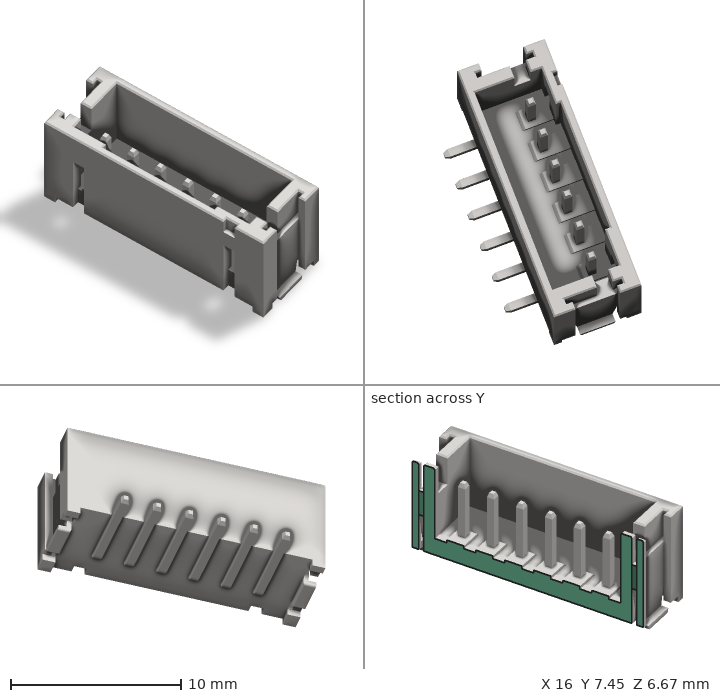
import cadquery as cq


length = 16.0
depth = 5.5
top_z = 6.67
foot_bottom_z = 0.05
foot_height = 0.45
body_bottom_z = foot_bottom_z + foot_height
wall = 0.5
front_end_wall = 0.8
thin_wall_half_length = 4.06
cavity_half_length = 6.4
floor_z = 1.7
edge_chamfer = 0.1

front_foot_depth = 0.93
back_foot_depth = wall

sheet = 0.3
tab_width = 3.6
tab_center_y = depth / 2
tab_inner_x = 7.2
tab_outer_x = tab_inner_x + sheet
tab_top_z = 4.7
tab_foot_width = 2.11
tab_taper_top_z = 3.75
tab_bend_radius = 0.15
tab_foot_corner_radius = 0.13
slot_opening_width = 2.8

end_gap_front_y = 1.5
end_gap_width = 1.0
window_center_x = 5.49
window_width = 0.82
window_top_z = 4.53
notch_depth = 0.3
notch_bottom_z = 5.7

contact_count = 6
pitch = 2.0
pin = 0.5
pin_y = 2.03
pin_top_z = 5.66
pin_tip_width = 0.29
pin_tip_length = 0.29
tail_end_y = 7.45

pad_width = 1.22
pad_height = 0.2
pad_back_y = 2.77

contact_positions = [(i - (contact_count - 1) / 2) * pitch for i in range(contact_count)]


def block(x0, x1, y0, y1, z0, z1):
    """Box between two opposite corners."""
    return cq.Workplane("XY").box(x1 - x0, y1 - y0, z1 - z0, centered=False).translate((x0, y0, z0))


def shell():
    """Box standing on four corner feet, hollowed by the cavity, which is open at the top."""
    half = length / 2
    body = block(-half, half, 0, depth, foot_bottom_z, top_z)

    body = body.cut(block(-half, half, front_foot_depth, depth - back_foot_depth, foot_bottom_z, body_bottom_z))
    body = body.cut(block(-tab_inner_x, tab_inner_x, 0, depth, foot_bottom_z, body_bottom_z))

    back_y = depth - wall
    body = body.cut(block(-cavity_half_length, cavity_half_length, front_end_wall, back_y, floor_z, top_z))
    return body.cut(block(-thin_wall_half_length, thin_wall_half_length, wall, back_y, floor_z, top_z))


def end_cuts(side):
    """T-shaped tab slot and end-wall gap at one end; side is -1 or 1."""
    half_width = tab_width / 2
    half_opening = slot_opening_width / 2
    slot = block(tab_inner_x, tab_outer_x, tab_center_y - half_width, tab_center_y + half_width, 0, top_z)
    opening = block(tab_outer_x, length / 2, tab_center_y - half_opening, tab_center_y + half_opening, 0, top_z)
    gap_back_y = end_gap_front_y + end_gap_width
    gap = block(cavity_half_length, tab_inner_x, end_gap_front_y, gap_back_y, tab_top_z, top_z)
    cuts = slot.union(opening).union(gap)
    return cuts if side > 0 else cuts.mirror("YZ")


def window_cut(center_x):
    """Window in the front wall: a groove up the face that breaks into the cavity above the floor."""
    x0 = center_x - window_width / 2
    x1 = center_x + window_width / 2
    groove = block(x0, x1, 0, wall, 0, window_top_z)
    return groove.union(block(x0, x1, 0, front_end_wall, floor_z, window_top_z))


def notch_cut():
    """Marker notch in the top edge of the front wall, above the window at +X."""
    x0 = window_center_x - window_width / 2
    return block(x0, x0 + window_width, 0, notch_depth, notch_bottom_z, top_z)


def pad(x):
    """Raised pad on the cavity floor, reaching under the front wall, with a 45 degree back edge."""
    top = floor_z + pad_height
    return (
        cq.Workplane("YZ")
        .polyline([(wall, floor_z), (pad_back_y, floor_z), (pad_back_y - pad_height, top), (wall, top)])
        .close()
        .extrude(pad_width / 2, both=True)
        .translate((x, 0, 0))
    )


def pin_tip(start, direction):
    """Tapered square tip of a contact, starting at a point and running along a direction."""
    plane = cq.Plane(origin=start, xDir=(1, 0, 0), normal=direction)
    return (
        cq.Workplane(plane)
        .rect(pin, pin)
        .workplane(offset=pin_tip_length)
        .rect(pin_tip_width, pin_tip_width)
        .loft(ruled=True)
    )


def contact(x):
    """L-shaped square wire: a pin up into the cavity and a solder tail out behind the housing."""
    front_y = pin_y - pin / 2
    post_end_z = pin_top_z - pin_tip_length
    tail_taper_y = tail_end_y - pin_tip_length
    post = block(x - pin / 2, x + pin / 2, front_y, front_y + pin, 0, post_end_z)
    tail = block(x - pin / 2, x + pin / 2, front_y, tail_taper_y, 0, pin)
    bend_edge = cq.selectors.NearestToPointSelector((x, front_y, 0))
    wire = post.union(tail).edges(bend_edge).fillet(pin)
    wire = wire.union(pin_tip((x, pin_y, post_end_z), (0, 0, 1)))
    return wire.union(pin_tip((x, tail_taper_y, pin / 2), (0, 1, 0)))


def make_housing():
    """Housing with its contacts moulded in as one solid."""
    body = shell()
    for side in (-1, 1):
        body = body.cut(end_cuts(side))
    body = body.cut(notch_cut())
    body = body.faces(">Z").chamfer(edge_chamfer)

    for side in (-1, 1):
        body = body.cut(window_cut(side * window_center_x))
    for x in contact_positions:
        body = body.union(pad(x)).union(contact(x))
    return body


def make_tab(side):
    """Sheet-metal solder tab: a tapered plate in the slot, bent outward into a foot; side is -1 or 1."""
    half_width = tab_width / 2
    half_foot = tab_foot_width / 2
    outline = (
        cq.Workplane("YZ", origin=(0, tab_center_y, 0))
        .polyline([
            (-half_foot, 0),
            (half_foot, 0),
            (half_width, tab_taper_top_z),
            (half_width, tab_top_z),
            (-half_width, tab_top_z),
            (-half_width, tab_taper_top_z),
        ])
        .close()
        .extrude(length / 2)
        .faces("<Z")
        .edges("|X")
        .fillet(tab_foot_corner_radius)
    )
    plate = block(tab_inner_x, tab_outer_x, 0, depth, 0, tab_top_z)
    foot = block(tab_inner_x, length / 2, 0, depth, 0, sheet)
    bent_sheet = plate.union(foot).edges("|Y and <X and <Z").fillet(tab_bend_radius)
    tab = outline.intersect(bent_sheet)
    return tab if side > 0 else tab.mirror("YZ")


housing = make_housing()
tabs = [make_tab(side) for side in (-1, 1)]

result = cq.Compound.makeCompound([housing.val(), *[tab.val() for tab in tabs]])